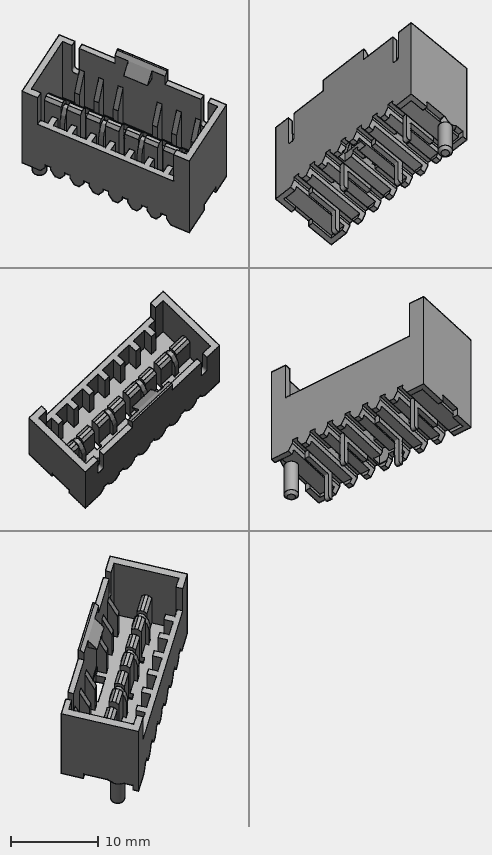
import cadquery as cq

LENGTH = 21.7
WIDTH = 9.2
HEIGHT = 13.6
SIDE_WALL = 0.8
CORNER_WALL = 0.8
THIN_WALL = 0.7
FLOOR_BOTTOM = 0.5
FLOOR_TOP = 2.0
REAR_LEDGE_TOP = 3.0

NOTCH_FLOOR = 8.55
NOTCH_HALF = 8.8
SLOT_WIDTH = 0.91
SLOT_FILLET = 0.4

TAB_WIDTH = 6.5
TAB_HEIGHT = 2.0
TAB_CHAMFER = 0.48
HOOK_WIDTH = 3.08
HOOK_REACH = 1.1
HOOK_WINDOW_WIDTH = 3.3
HOOK_WINDOW_FRONT = 2.67

POSITIONS = 7
OUTER_POSITION = 7.5
GROOVE_WIDTH = 0.72

REAR_RIB_WIDTH = 0.65
REAR_RIB_DEPTH = 1.2
REAR_RIB_TOP = 9.63
REAR_RIB_SHOULDER = 6.62
FRONT_RIB_REACH = 1.1
CENTRE_WALL = 1.2
CENTRE_WALL_TOP = 8.07
CENTRE_CHAMFER = 0.4
CONTACT_SLOT_LENGTH = 2.0

GROOVE_TOP = 1.4
FLARE_TOP = 0.93
FLARE_WIDTH = 1.85
SIDE_OPENING_DEPTH = 0.67
SIDE_OPENING_HEIGHT = 1.0
OPENING_REAR = 1.97
OPENING_FRONT = -0.85

CONTACT_WIDTH = 0.6
CONTACT_BOTTOM = 0.24
CONTACT_RUN_TOP = 1.32
BLADE_SHOULDER = 5.42
BLADE_HALF = 0.78
BLADE_TIP_HALF = 0.25
BLADE_TAPER_START = 6.5
BLADE_TOP = 7.49
BLADE_TIP_FILLET = 0.1
TAIL_WIDTH = 0.7
TAIL_ROW = 1.89
TAIL_END = -3.3
TAIL_FILLET = 0.3
TAIL_BEND_FILLET = 0.1

PEG_DIAMETER = 1.7
PEG_Y = -1.89
PEG_END = -4.3
PEG_CHAMFER = 0.37
PEG_BASE_RADIUS = 1.25

HALF_X = LENGTH / 2
HALF_Y = WIDTH / 2
INNER_X = HALF_X - SIDE_WALL
THIN_Y = HALF_Y - THIN_WALL
CORNER_Y = HALF_Y - CORNER_WALL
BLADE_ROOT = CONTACT_SLOT_LENGTH / 2
PITCH = 2 * OUTER_POSITION / (POSITIONS - 1)
POSITION_X = [i * PITCH - OUTER_POSITION for i in range(POSITIONS)]


def block(x0, x1, y0, y1, z0, z1):
    """Axis-aligned block between opposite corners."""
    return cq.Workplane("XY").box(x1 - x0, y1 - y0, z1 - z0, centered=False).translate((x0, y0, z0))


def across(x, width, points):
    """Y-Z outline extruded along X, centred on x."""
    return cq.Workplane("YZ", origin=(x - width / 2, 0, 0)).polyline(points).close().extrude(width)


def shell():
    """Open box with a stepped cavity, the front notch and the slotted rear wall."""
    body = block(-HALF_X, HALF_X, -HALF_Y, HALF_Y, 0, HEIGHT)
    body = body.cut(block(-INNER_X, INNER_X, -CORNER_Y, CORNER_Y, FLOOR_TOP, HEIGHT))
    body = body.cut(block(-INNER_X, INNER_X, CORNER_Y, THIN_Y, REAR_LEDGE_TOP, HEIGHT))
    body = body.cut(block(-NOTCH_HALF, NOTCH_HALF, -THIN_Y, -CORNER_Y, FLOOR_TOP, HEIGHT))
    body = body.cut(block(-NOTCH_HALF, NOTCH_HALF, -HALF_Y, -CORNER_Y, NOTCH_FLOOR, HEIGHT))
    panel_half = NOTCH_HALF - SLOT_WIDTH
    for x0 in (-NOTCH_HALF, panel_half):
        slot = block(x0, x0 + SLOT_WIDTH, THIN_Y, HALF_Y, NOTCH_FLOOR, HEIGHT)
        body = body.cut(slot.edges("|Y and <Z").fillet(SLOT_FILLET))
    return body


def latch():
    """Tab above the rear wall with a hook leaning into the cavity."""
    tab_top = HEIGHT + TAB_HEIGHT
    hook_top = tab_top - TAB_CHAMFER
    tab = across(0, TAB_WIDTH, [
        (HALF_Y, HEIGHT),
        (HALF_Y, tab_top),
        (THIN_Y + TAB_CHAMFER, tab_top),
        (THIN_Y, hook_top),
        (THIN_Y, HEIGHT),
    ])
    hook = across(0, HOOK_WIDTH, [
        (THIN_Y, HEIGHT),
        (THIN_Y, hook_top),
        (THIN_Y - HOOK_REACH, HEIGHT),
    ])
    return tab.union(hook)


def rear_rib(x):
    """Tapered rib flush with the outer side of the groove below it; none at the middle."""
    outward = (GROOVE_WIDTH - REAR_RIB_WIDTH) / 2
    centre = x + outward if x > 0 else x - outward
    return across(centre, REAR_RIB_WIDTH, [
        (THIN_Y, FLOOR_TOP),
        (THIN_Y, REAR_RIB_TOP),
        (THIN_Y - REAR_RIB_DEPTH, REAR_RIB_SHOULDER),
        (THIN_Y - REAR_RIB_DEPTH, FLOOR_TOP),
    ])


def front_rib(x):
    half = GROOVE_WIDTH / 2
    return block(x - half, x + half, -THIN_Y, FRONT_RIB_REACH - THIN_Y, FLOOR_TOP, NOTCH_FLOOR)


def centre_wall():
    wall = block(-INNER_X, INNER_X, -CENTRE_WALL / 2, CENTRE_WALL / 2, FLOOR_TOP, CENTRE_WALL_TOP)
    return wall.edges("|X and >Z").chamfer(CENTRE_CHAMFER)


def contact_slot(x):
    half = GROOVE_WIDTH / 2
    return block(x - half, x + half, -BLADE_ROOT, BLADE_ROOT, 0, CENTRE_WALL_TOP)


def bottom_groove(x):
    """Full-width groove under the housing whose mouth flares out to the wall feet."""
    half = GROOVE_WIDTH / 2
    flare = FLARE_WIDTH / 2
    outline = [
        (x - flare, 0),
        (x - half, FLARE_TOP),
        (x - half, GROOVE_TOP),
        (x + half, GROOVE_TOP),
        (x + half, FLARE_TOP),
        (x + flare, 0),
    ]
    return cq.Workplane("XZ", origin=(0, HALF_Y, 0)).polyline(outline).close().extrude(WIDTH)


def underside():
    """Recess below the floor plus an opening at the foot of each side wall."""
    inner = HALF_X - SIDE_OPENING_DEPTH
    recess = block(-inner, inner, -THIN_Y, THIN_Y, 0, FLOOR_BOTTOM)
    peg_side = block(-HALF_X, -inner, -THIN_Y, OPENING_REAR, 0, SIDE_OPENING_HEIGHT)
    far_side = block(inner, HALF_X, OPENING_FRONT, OPENING_REAR, 0, SIDE_OPENING_HEIGHT)
    return recess.union(peg_side).union(far_side)


def contact(x, side):
    """Tapered blade on a flat run, with one solder tail at the +Y or -Y row given by side."""
    blade = across(x, CONTACT_WIDTH, [
        (-BLADE_ROOT, CONTACT_BOTTOM),
        (-BLADE_ROOT, BLADE_SHOULDER),
        (-BLADE_HALF, BLADE_TAPER_START),
        (-BLADE_TIP_HALF, BLADE_TOP),
        (BLADE_TIP_HALF, BLADE_TOP),
        (BLADE_HALF, BLADE_TAPER_START),
        (BLADE_ROOT, BLADE_SHOULDER),
        (BLADE_ROOT, CONTACT_BOTTOM),
    ])
    blade = blade.edges("|X and >Z").fillet(BLADE_TIP_FILLET)
    half = CONTACT_WIDTH / 2
    tail_outer = TAIL_ROW + TAIL_WIDTH / 2
    run = block(x - half, x + half, -tail_outer, tail_outer, CONTACT_BOTTOM, CONTACT_RUN_TOP)
    tail = block(x - half, x + half, -TAIL_WIDTH / 2, TAIL_WIDTH / 2, TAIL_END, CONTACT_RUN_TOP)
    tail = tail.edges("|X and <Z").fillet(TAIL_FILLET).translate((0, side * TAIL_ROW, 0))
    tail_inner = side * (TAIL_ROW - TAIL_WIDTH / 2)
    base = run.union(tail)
    bend = cq.selectors.NearestToPointSelector((x, tail_inner, CONTACT_BOTTOM))
    base = base.edges(bend).fillet(TAIL_BEND_FILLET)
    return base.union(blade)


def peg():
    """Chamfered peg tangent to the -X side, on a conical base trimmed to the wall."""
    radius = PEG_DIAMETER / 2
    outline = [
        (0, PEG_END),
        (radius - PEG_CHAMFER, PEG_END),
        (radius, PEG_END + PEG_CHAMFER),
        (radius, FLOOR_BOTTOM),
        (PEG_BASE_RADIUS, SIDE_OPENING_HEIGHT),
        (0, SIDE_OPENING_HEIGHT),
    ]
    turned = cq.Workplane("XZ").polyline(outline).close().revolve(360, (0, 0, 0), (0, 1, 0))
    turned = turned.translate((radius - HALF_X, PEG_Y, 0))
    trim = block(-HALF_X, 0, -HALF_Y, OPENING_FRONT, PEG_END, SIDE_OPENING_HEIGHT)
    return turned.intersect(trim)


result = shell().union(latch()).union(centre_wall())

for x in POSITION_X:
    if abs(x) > PITCH / 2:
        result = result.union(rear_rib(x))
    result = result.union(front_rib(x))

result = result.cut(underside())
for x in POSITION_X:
    result = result.cut(contact_slot(x)).cut(bottom_groove(x))

hook_window = block(
    -HOOK_WINDOW_WIDTH / 2, HOOK_WINDOW_WIDTH / 2, HOOK_WINDOW_FRONT, CORNER_Y, 0, FLOOR_TOP
)
result = result.cut(hook_window).union(peg())

for i, x in enumerate(POSITION_X[::2]):
    result = result.union(contact(x, 1 if i % 2 == 0 else -1))